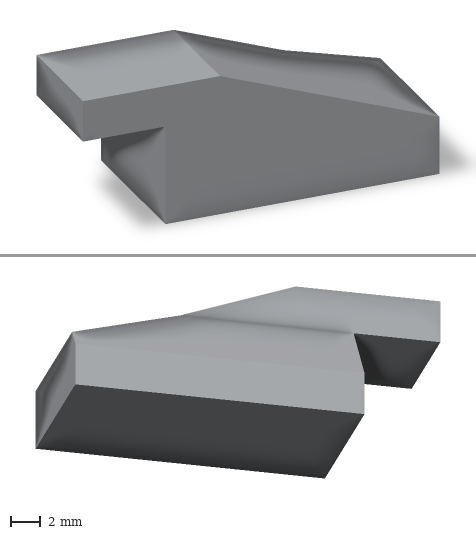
import cadquery as cq
import math

width = 10.9
base_length = 20.0
overhang = 6.0
block_height = 3.0
wall_height = 3.0
bevel_run = 3.0
flat_length = 10.0
back_height = 4.24

bevel_rise = bevel_run * math.sqrt(2)
base_height = wall_height + bevel_rise
total_height = base_height + block_height

front_tip = -overhang
roof_start = front_tip + flat_length


def make_base():
    """Bevelled bar whose cross-section is extruded from Y = 0 to the back."""
    section = [
        (0, 0),
        (width, 0),
        (width, base_height),
        (bevel_run, base_height),
        (0, wall_height),
    ]
    return cq.Workplane("XZ").polyline(section).close().extrude(-base_length)


def make_upper_block():
    """Full-length block on top of the base, overhanging its front."""
    return cq.Workplane("XY").box(
        width - bevel_run, base_length + overhang, block_height, centered=False
    ).translate((bevel_run, front_tip, base_height))


def make_side_envelope():
    """Side silhouette under the sloping roof, across the whole width."""
    silhouette = [
        (front_tip, 0),
        (base_length, 0),
        (base_length, back_height),
        (roof_start, total_height),
        (front_tip, total_height),
    ]
    return cq.Workplane("YZ").polyline(silhouette).close().extrude(width)


result = make_base().union(make_upper_block()).intersect(make_side_envelope())